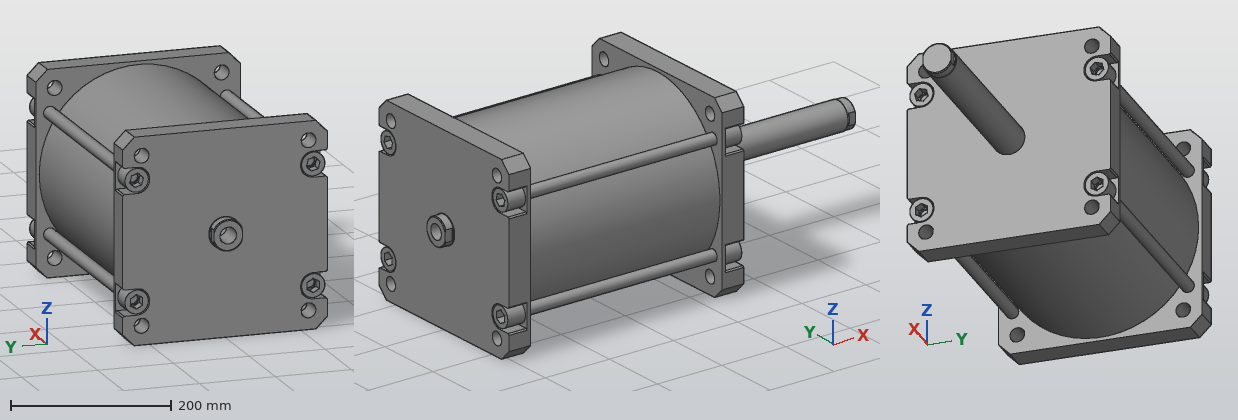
import cadquery as cq
import math

rod_length = 640.0
rod_diameter = 42.0
rod_tip_diameter = 41.0
rod_tip_length = 13.5
rod_tip_chamfer = 1.0
wrench_flat_length = 11.0
wrench_flat_width = 37.0
rod_hole_diameter = 22.0
rod_hole_depth = 38.5
drill_point_angle = 118.0

plate_side = 270.0
plate_chamfer = 15.5
plate_thickness = 34.0
left_plate_start = 12.0
barrel_length = 298.0
barrel_diameter = 261.0

mount_hole_diameter = 19.0
mount_hole_offset = 110.0

tie_offset_y = 116.5
tie_offset_z = 79.0
tie_diameter = 16.5
head_diameter = 31.0
head_length = 27.5
head_recess = 0.5
socket_across_flats = 16.0
socket_depth = 13.0
socket_pilot_diameter = 13.5
socket_pilot_depth = 16.5
upper_socket_turn = 45.0
lower_socket_turn = 30.0
notch_width = 34.0
notch_length = 28.0
notch_mouth_chamfer = 2.0

left_plate_end = left_plate_start + plate_thickness
right_plate_start = left_plate_end + barrel_length
right_plate_end = right_plate_start + plate_thickness
tie_places = [(y, z) for y in (-tie_offset_y, tie_offset_y) for z in (-tie_offset_z, tie_offset_z)]
mount_places = [(y, z) for y in (-mount_hole_offset, mount_hole_offset)
                for z in (-mount_hole_offset, mount_hole_offset)]


def cylinder(x_start, length, diameter, y=0.0, z=0.0):
    """Solid cylinder along +X."""
    return cq.Workplane("YZ", origin=(x_start, y, z)).circle(diameter / 2).extrude(length)


def end_plate(x_start, notch_start):
    """Square plate with corner chamfers, mounting holes and edge notches for the tie rod heads."""
    plate = (
        cq.Workplane("YZ", origin=(x_start, 0, 0))
        .rect(plate_side, plate_side)
        .extrude(plate_thickness)
        .edges("|X")
        .chamfer(plate_chamfer)
    )
    mount_holes = (
        cq.Workplane("YZ", origin=(x_start, 0, 0))
        .pushPoints(mount_places)
        .circle(mount_hole_diameter / 2)
        .extrude(plate_thickness)
    )
    plate = plate.cut(mount_holes).cut(cylinder(x_start, plate_thickness, rod_diameter))
    for y, z in tie_places:
        plate = plate.cut(cylinder(x_start, plate_thickness, tie_diameter, y, z))
        plate = plate.cut(head_notch(notch_start, y, z))
    return plate


def head_notch(x_start, y, z):
    """Round-bottomed notch around a tie rod head, open to the nearest Y side with a chamfered mouth."""
    half_width = notch_width / 2
    edge_y = math.copysign(plate_side / 2, y)
    chamfer_y = math.copysign(plate_side / 2 - notch_mouth_chamfer, y)
    mouth_half_width = half_width + notch_mouth_chamfer
    opening = (
        cq.Workplane("YZ", origin=(x_start, 0, z))
        .moveTo(y, half_width)
        .lineTo(chamfer_y, half_width)
        .lineTo(edge_y, mouth_half_width)
        .lineTo(edge_y, -mouth_half_width)
        .lineTo(chamfer_y, -half_width)
        .lineTo(y, -half_width)
        .close()
        .extrude(notch_length)
    )
    return cylinder(x_start, notch_length, notch_width, y, z).union(opening)


def head_socket(face_x, inward, y, z):
    """Hex socket with a round pilot below it, cut along inward (+1 or -1) from a head face."""
    corner_diameter = socket_across_flats / math.cos(math.pi / 6)
    turn = upper_socket_turn if z > 0 else lower_socket_turn
    hexagon = (
        cq.Workplane("YZ")
        .polygon(6, corner_diameter)
        .extrude(inward * socket_depth)
        .rotate((0, 0, 0), (1, 0, 0), turn)
        .translate((face_x, y, z))
    )
    return hexagon.union(cylinder(face_x, inward * socket_pilot_depth, socket_pilot_diameter, y, z))


def tie_rod(y, z):
    """Rod between the plates with a hex socket head at each end."""
    left_face = left_plate_start + head_recess
    right_face = right_plate_end - head_recess
    return (
        cylinder(left_face, right_face - left_face, tie_diameter, y, z)
        .union(cylinder(left_face, head_length, head_diameter, y, z))
        .union(cylinder(right_face, -head_length, head_diameter, y, z))
        .cut(head_socket(left_face, 1, y, z))
        .cut(head_socket(right_face, -1, y, z))
    )


def cylinder_barrel():
    """Barrel clamped between the end plates, bored to fit the through rod."""
    bore = cylinder(left_plate_end, barrel_length, rod_diameter)
    return cylinder(left_plate_end, barrel_length, barrel_diameter).cut(bore)


def piston_rod():
    """Through rod with stepped, flatted tips and a drilled hole in the left one."""
    shoulder_length = rod_length - 2 * rod_tip_length
    rod = (
        cylinder(0, rod_length, rod_tip_diameter)
        .faces("<X or >X")
        .chamfer(rod_tip_chamfer)
        .union(cylinder(rod_tip_length, shoulder_length, rod_diameter))
    )
    for flat_start in (0, rod_length - wrench_flat_length):
        for side in (-1, 1):
            flat_cutter = cq.Workplane("XY").box(
                wrench_flat_length, rod_diameter, rod_diameter, centered=(False, True, True)
            )
            flat_y = side * (wrench_flat_width + rod_diameter) / 2
            rod = rod.cut(flat_cutter.translate((flat_start, flat_y, 0)))
    hole_radius = rod_hole_diameter / 2
    drill_point = hole_radius / math.tan(math.radians(drill_point_angle / 2))
    hole = (
        cq.Workplane("XY")
        .polyline([(0, 0), (0, hole_radius), (rod_hole_depth, hole_radius), (rod_hole_depth + drill_point, 0)])
        .close()
        .revolve(360, (0, 0, 0), (1, 0, 0))
    )
    return rod.cut(hole)


left_plate = end_plate(left_plate_start, left_plate_start)
right_plate = end_plate(right_plate_start, right_plate_end - notch_length)
barrel = cylinder_barrel()
rod = piston_rod()
tie_rods = [tie_rod(y, z) for y, z in tie_places]

result = cq.Compound.makeCompound(
    [left_plate.val(), right_plate.val(), barrel.val(), rod.val(), *[tie.val() for tie in tie_rods]]
)